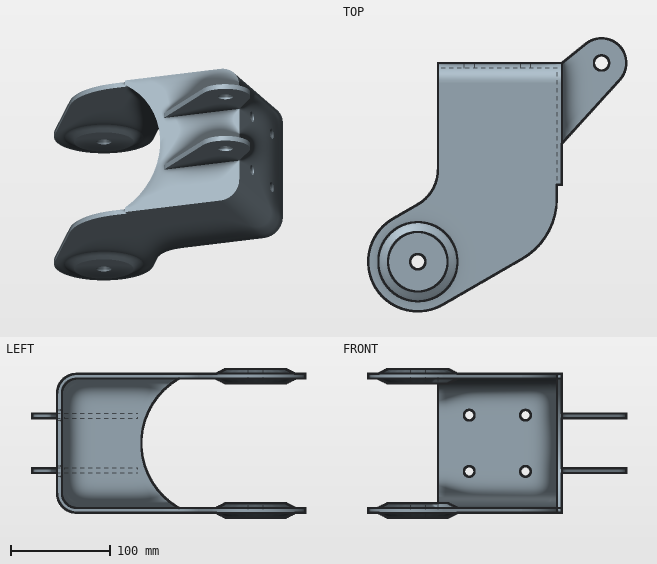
import cadquery as cq
import math

thickness = 5.0
channel_height = 140.0
pivot_radius = 50.0
back_y = 200.0
left_x = 20.0
web_outer_x = 145.0
web_inner_x = web_outer_x - thickness
bend_radius = 20.0
arm_angle = math.radians(30)
inner_elbow_radius = 40.0
outer_elbow_radius = 70.0

boss_base_radius = 40.0
boss_top_radius = 30.0
boss_height = 5.0
pin_diameter = 15.0

web_cut_radius = 75.0
web_cut_y = 40.0

bolt_circle_diameter = 80.0
bolt_hole_diameter = 10.5

lug_x = 184.8
lug_y = back_y
lug_radius = 25.0
lug_gap = 50.0
lug_lower_y = 118.8

half_height = channel_height / 2
inner_half_height = half_height - thickness
web_end_y = web_cut_y + math.sqrt(web_cut_radius**2 - inner_half_height**2)


def polar(radius, angle):
    return radius * math.cos(angle), radius * math.sin(angle)


def arm_outline():
    """Bent arm outline with rounded elbows, extruded over the full height."""
    upper_tangent = polar(pivot_radius, arm_angle + math.pi / 2)
    lower_tangent = polar(pivot_radius, arm_angle - math.pi / 2)
    slope = math.tan(arm_angle)
    inner_elbow = (left_x, upper_tangent[1] + (left_x - upper_tangent[0]) * slope)
    outer_elbow = (web_inner_x, lower_tangent[1] + (web_inner_x - lower_tangent[0]) * slope)
    body = (
        cq.Workplane("XY", origin=(0, 0, -half_height))
        .moveTo(*upper_tangent)
        .threePointArc(polar(pivot_radius, arm_angle + math.pi), lower_tangent)
        .lineTo(*outer_elbow)
        .lineTo(web_inner_x, web_end_y)
        .lineTo(web_outer_x, web_end_y)
        .lineTo(web_outer_x, back_y)
        .lineTo(left_x, back_y)
        .lineTo(*inner_elbow)
        .close()
        .extrude(channel_height)
    )
    for elbow, radius in ((inner_elbow, inner_elbow_radius), (outer_elbow, outer_elbow_radius)):
        body = body.edges(cq.selectors.NearestToPointSelector((*elbow, 0))).fillet(radius)
    return body


def hollow():
    """Space between the arms, closed by the back wall and the side web."""
    open_side = -2 * pivot_radius
    length_x = web_inner_x - open_side
    length_y = back_y - thickness - open_side
    return (
        cq.Workplane("XY")
        .box(length_x, length_y, 2 * inner_half_height, centered=(False, False, True))
        .translate((open_side, open_side, 0))
        .edges("|X and >Y")
        .fillet(bend_radius - thickness)
    )


def web_cutout():
    """Round opening through the web, kept between the arms."""
    cylinder = (
        cq.Workplane("YZ", origin=(web_inner_x, 0, 0))
        .center(web_cut_y, 0)
        .circle(web_cut_radius)
        .extrude(thickness)
    )
    between_arms = cq.Workplane("XY").box(2 * web_outer_x, 2 * back_y, 2 * inner_half_height)
    return cylinder.intersect(between_arms)


def bolt_holes():
    pitch = bolt_circle_diameter / math.sqrt(2)
    middle_x = (left_x + web_inner_x) / 2
    return (
        cq.Workplane("XZ", origin=(middle_x, back_y, 0))
        .rarray(pitch, pitch, 2, 2)
        .circle(bolt_hole_diameter / 2)
        .extrude(thickness)
    )


def boss(sign):
    """Conical pads on both faces of one arm."""
    middle_z = sign * (half_height - thickness / 2)
    base_z = thickness / 2
    top_z = base_z + boss_height
    profile = (
        cq.Workplane("XZ")
        .polyline([
            (0, -top_z),
            (boss_top_radius, -top_z),
            (boss_base_radius, -base_z),
            (boss_base_radius, base_z),
            (boss_top_radius, top_z),
            (0, top_z),
        ])
        .close()
    )
    return profile.revolve(360, (0, 0), (0, 1)).translate((0, 0, middle_z))


def lug_tangent(corner_y, side):
    """Point where a line from a web corner touches the lug's round end."""
    dx = web_outer_x - lug_x
    dy = corner_y - lug_y
    angle = math.atan2(dy, dx) + side * math.acos(lug_radius / math.hypot(dx, dy))
    x, y = polar(lug_radius, angle)
    return lug_x + x, lug_y + y


def lug(sign):
    middle_z = sign * (lug_gap + thickness) / 2
    return (
        cq.Workplane("XY", origin=(0, 0, middle_z - thickness / 2))
        .moveTo(web_outer_x, lug_lower_y)
        .lineTo(*lug_tangent(lug_lower_y, 1))
        .threePointArc((lug_x + lug_radius, lug_y), lug_tangent(back_y, -1))
        .lineTo(web_outer_x, back_y)
        .close()
        .extrude(thickness)
    )


def pin_holes():
    return (
        cq.Workplane("XY")
        .pushPoints([(0, 0), (lug_x, lug_y)])
        .circle(pin_diameter / 2)
        .extrude(channel_height, both=True)
    )


result = arm_outline().edges("|X and >Y").fillet(bend_radius)
result = result.cut(hollow()).cut(web_cutout()).cut(bolt_holes())
for side in (-1, 1):
    result = result.union(boss(side)).union(lug(side))
result = result.cut(pin_holes())